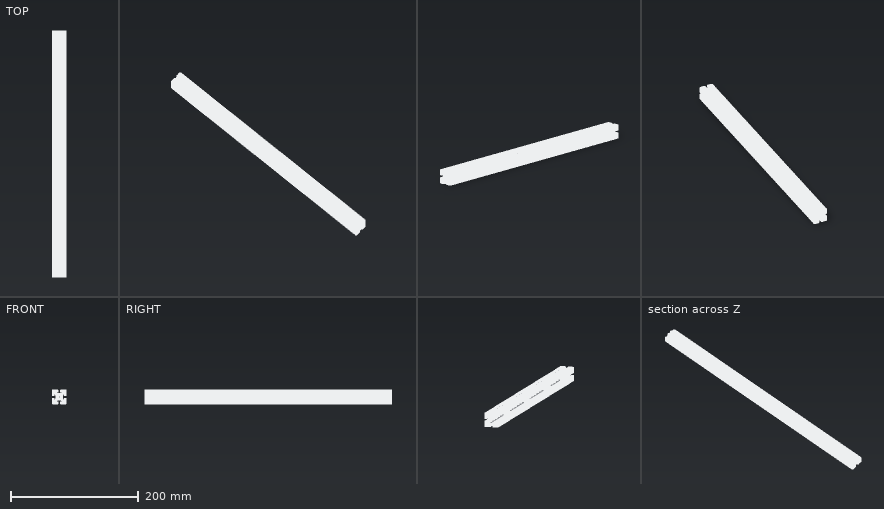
import cadquery as cq

length = 385.0
width = 20.0
corner_radius = 1.0

half_opening = 3.0
lip_thickness = 1.35
lip_chamfer = 0.5
corner_block = 3.5

core_width = 8.5
groove_width = 1.5
groove_depth = 0.58
bore_diameter = 5.5

web_thickness = 0.95

half_width = width / 2
half_core = core_width / 2
web_offset = web_thickness / 2**0.5


def half_slot_outline():
    """Right half of the upper slot, from the mouth down to the groove bottom."""
    lip_underside = half_width - lip_thickness
    block_inner = half_width - corner_block
    return [
        (half_opening + lip_chamfer, half_width),
        (half_opening, half_width - lip_chamfer),
        (half_opening, lip_underside),
        (block_inner, lip_underside),
        (block_inner, block_inner + web_offset),
        (half_core - web_offset, half_core),
        (groove_width / 2, half_core),
        (0, half_core - groove_depth),
    ]


def slot(angle):
    """Full-length T-slot cutter for the side at the given angle about Y."""
    right_half = half_slot_outline()
    left_half = [(-x, z) for x, z in reversed(right_half[:-1])]
    outline = cq.Workplane("XZ").polyline(right_half + left_half).close()
    cutter = outline.extrude(length / 2, both=True)
    return cutter.rotate((0, 0, 0), (0, 1, 0), angle)


bar = cq.Workplane("XY").box(width, length, width).edges("|Y").fillet(corner_radius)
for angle in (0, 90, 180, 270):
    bar = bar.cut(slot(angle))

bore = cq.Workplane("XZ").circle(bore_diameter / 2).extrude(length / 2, both=True)
result = bar.cut(bore)